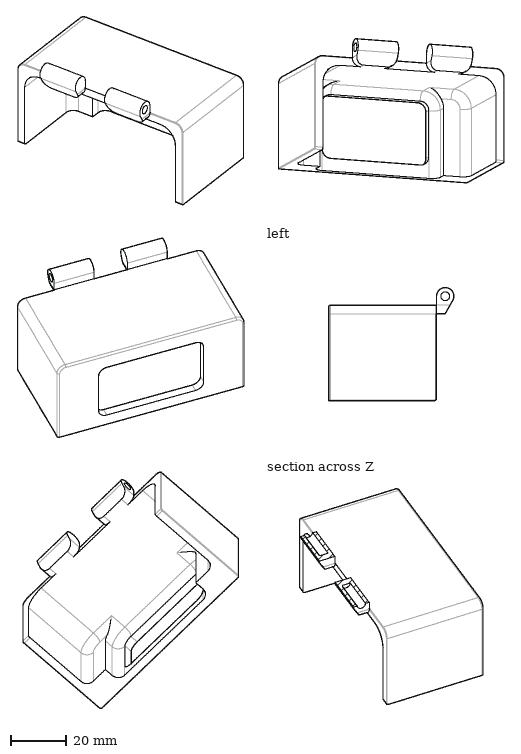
import cadquery as cq
import math

WALL = 3.175
WIDTH = 73.025
DEPTH = 39.0525
HEIGHT = 34.671
OUTER_CORNER_RADIUS = WALL
SIDE_EDGE_RADIUS = 0.254
LEG_TOE_RADIUS = 0.762
REAR_EDGE_RADIUS = 0.762

CLEARANCE = 0.127

CAVITY_CORNER_RADIUS = 6.604
FLOOR_FILLET = WALL
CAVITY_TOP = HEIGHT - WALL
MAIN_CAVITY_WIDTH = WIDTH - 2 * WALL
MAIN_CAVITY_DEPTH = 29.2735
INNER_CAVITY_WIDTH = 47.625
INNER_CAVITY_DEPTH = DEPTH - WALL

WINDOW_WIDTH = INNER_CAVITY_WIDTH - 2 * (FLOOR_FILLET + CLEARANCE)
WINDOW_BOTTOM = 4.7625
WINDOW_TOP = CAVITY_TOP - FLOOR_FILLET
WINDOW_CORNER_RADIUS = WALL

BARREL_RADIUS = WALL
HINGE_SLOT_START = 6.35
HINGE_SLOT_END = 22.225
KNUCKLE_INNER_X = HINGE_SLOT_START + CLEARANCE
KNUCKLE_OUTER_X = HINGE_SLOT_END - CLEARANCE
KNUCKLE_LENGTH = KNUCKLE_OUTER_X - KNUCKLE_INNER_X
BARREL_Y = -BARREL_RADIUS
BARREL_Z = HEIGHT + BARREL_RADIUS
KNUCKLE_BOTTOM = HEIGHT - WALL
KNUCKLE_CORNER_RADIUS = 3.17
PIN_HOLE_DIAMETER = 3.175
PIN_HOLE_DEPTH = 12.7


def make_hinge_land():
    """Strip that keeps the upper front edge square across and between the knuckles."""
    length = 2 * KNUCKLE_OUTER_X
    strip = cq.Workplane("XY").box(length, WALL, WALL, centered=(True, False, False))
    return strip.translate((0, 0, CAVITY_TOP))


def make_shell():
    """Solid block with rounded upper side edges and softened front and rear outlines."""
    block = cq.Workplane("XY").box(WIDTH, DEPTH, HEIGHT, centered=(True, False, False))
    block = block.edges("|Y and >Z").fillet(OUTER_CORNER_RADIUS)
    block = block.faces(">Y").edges("not <Z").fillet(REAR_EDGE_RADIUS)
    block = block.edges("<Y and <Z").fillet(LEG_TOE_RADIUS)
    block = block.faces("<Y").edges(">Z").fillet(SIDE_EDGE_RADIUS)
    return block.union(make_hinge_land())


def make_cavity(width, depth):
    """Cutter entering from the front, with rounded upper corners and a filleted far end."""
    overrun = 2 * FLOOR_FILLET
    cutter = cq.Workplane("XY").box(width, depth, CAVITY_TOP + overrun, centered=(True, False, False))
    cutter = cutter.translate((0, 0, -overrun))
    cutter = cutter.edges("|Y and >Z").fillet(CAVITY_CORNER_RADIUS)
    return cutter.faces(">Y").edges("not <Z").fillet(FLOOR_FILLET)


def make_window():
    """Rounded rectangular cutter through the whole depth."""
    height = WINDOW_TOP - WINDOW_BOTTOM
    cutter = cq.Workplane("XY").box(WINDOW_WIDTH, DEPTH, height, centered=(True, False, False))
    return cutter.translate((0, 0, WINDOW_BOTTOM)).edges("|Y").fillet(WINDOW_CORNER_RADIUS)


def make_knuckle():
    """Make the knuckle on the -X side: barrel, tapered foot and a blind pin hole in its outer end."""
    slope = math.asin(BARREL_RADIUS / (BARREL_Z - KNUCKLE_BOTTOM))
    tangent_y = BARREL_Y - BARREL_RADIUS * math.cos(slope)
    tangent_z = BARREL_Z - BARREL_RADIUS * math.sin(slope)
    end_plane = cq.Workplane("YZ", origin=(-KNUCKLE_OUTER_X, 0, 0))

    knuckle = (
        end_plane.moveTo(0, KNUCKLE_BOTTOM)
        .lineTo(0, BARREL_Z)
        .threePointArc((BARREL_Y, BARREL_Z + BARREL_RADIUS), (tangent_y, tangent_z))
        .lineTo(BARREL_Y, KNUCKLE_BOTTOM)
        .close()
        .extrude(KNUCKLE_LENGTH)
    )
    knuckle = knuckle.faces("<Z").edges("|Y").fillet(KNUCKLE_CORNER_RADIUS)
    pin_hole = end_plane.center(BARREL_Y, BARREL_Z).circle(PIN_HOLE_DIAMETER / 2).extrude(PIN_HOLE_DEPTH)
    return knuckle.cut(pin_hole)


cover = make_shell()
cover = cover.cut(make_cavity(MAIN_CAVITY_WIDTH, MAIN_CAVITY_DEPTH))
cover = cover.cut(make_cavity(INNER_CAVITY_WIDTH, INNER_CAVITY_DEPTH))
cover = cover.cut(make_window())

left_knuckle = make_knuckle()
result = cover.union(left_knuckle).union(left_knuckle.mirror("YZ"))